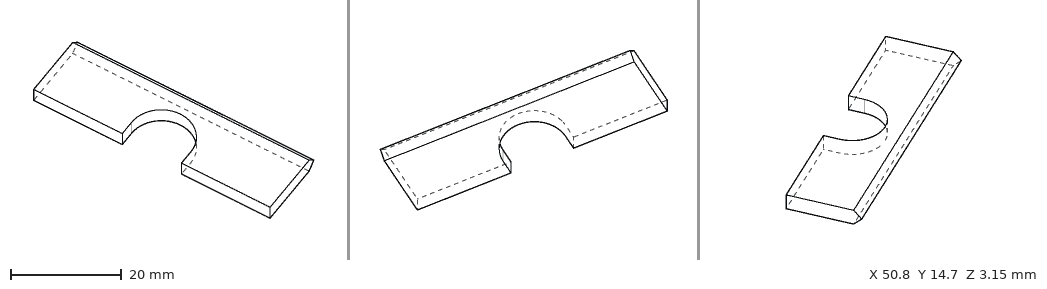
import cadquery as cq

length = 50.8
width = 14.65
thickness = 3.15

bevel = thickness / 2

notch_width = 12.7
notch_depth = 9.5
notch_radius = notch_width / 2
notch_straight = notch_depth - notch_radius


def pointed_plate():
    """Plate with its front edge at Y = 0 and its pointed edge at Y = width."""
    return (
        cq.Workplane("YZ")
        .moveTo(0, -thickness / 2)
        .lineTo(width - bevel, -thickness / 2)
        .lineTo(width, 0)
        .lineTo(width - bevel, thickness / 2)
        .lineTo(0, thickness / 2)
        .close()
        .extrude(length / 2, both=True)
    )


def notch_cutter():
    """Straight-sided slot with a semicircular end, through the full thickness."""
    return (
        cq.Workplane("XY")
        .moveTo(-notch_radius, 0)
        .lineTo(-notch_radius, notch_straight)
        .threePointArc((0, notch_depth), (notch_radius, notch_straight))
        .lineTo(notch_radius, 0)
        .close()
        .extrude(thickness, both=True)
    )


result = pointed_plate().cut(notch_cutter())